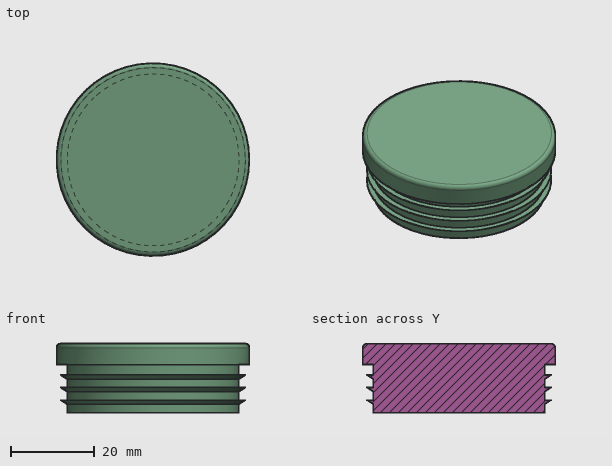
import cadquery as cq

cap_diameter = 46.0
cap_height = 5.0
cap_edge_radius = 1.0

total_height = 16.5
plug_diameter = 41.0
plug_height = total_height - cap_height

fin_diameter = 44.0
fin_height = 1.0
fin_count = 3
fin_pitch = 3.0
first_fin_drop = 2.5


def make_cap():
    cap = cq.Workplane("XY").workplane(offset=plug_height).circle(cap_diameter / 2).extrude(cap_height)
    return cap.faces(">Z").edges().fillet(cap_edge_radius)


def make_plug():
    return cq.Workplane("XY").circle(plug_diameter / 2).extrude(plug_height)


def make_fin(top_z):
    """Conical disc with its wide flat face at top_z."""
    return (
        cq.Workplane("XY")
        .workplane(offset=top_z - fin_height)
        .circle(plug_diameter / 2)
        .workplane(offset=fin_height)
        .circle(fin_diameter / 2)
        .loft(ruled=True)
    )


result = make_cap().union(make_plug())
for fin_index in range(fin_count):
    fin_top = plug_height - first_fin_drop - fin_index * fin_pitch
    result = result.union(make_fin(fin_top))